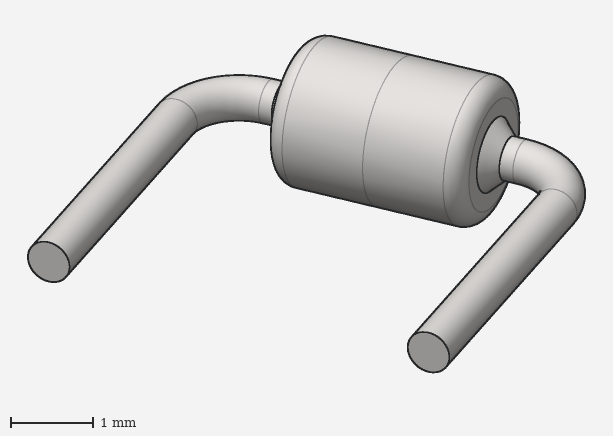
import cadquery as cq

overall_width = 5.64
overall_depth = 5.5

body_diameter = 1.9
body_length = 2.63
body_edge_radius = 0.235

collar_base_diameter = 0.96
collar_length = 0.21

wire_diameter = 0.56
bend_radius = 0.84

wire_radius = wire_diameter / 2
leg_x = overall_width / 2 - wire_radius
leg_tip_y = body_diameter / 2 - overall_depth
bend_start_x = leg_x - bend_radius


def make_body():
    """Cylindrical body with rounded end rims."""
    cylinder = cq.Workplane("YZ").circle(body_diameter / 2).extrude(body_length / 2, both=True)
    return cylinder.edges("%CIRCLE").fillet(body_edge_radius)


def make_collar():
    """Cone tapering from the +X body face down to the wire."""
    base_x = body_length / 2
    tip_x = base_x + collar_length
    profile = (
        cq.Workplane("XY")
        .moveTo(0, 0)
        .lineTo(0, collar_base_diameter / 2)
        .lineTo(base_x, collar_base_diameter / 2)
        .lineTo(tip_x, wire_radius)
        .lineTo(tip_x, 0)
        .close()
    )
    return profile.revolve(360, (0, 0, 0), (1, 0, 0))


def make_lead():
    """Wire leaving the body along +X and bending a quarter turn to -Y."""
    path = (
        cq.Workplane("XY")
        .lineTo(bend_start_x, 0)
        .radiusArc((leg_x, -bend_radius), bend_radius)
        .lineTo(leg_x, leg_tip_y)
    )
    return cq.Workplane("YZ").circle(wire_radius).sweep(path)


right_end = make_collar().union(make_lead())
left_end = right_end.mirror("YZ")
result = make_body().union(right_end).union(left_end)